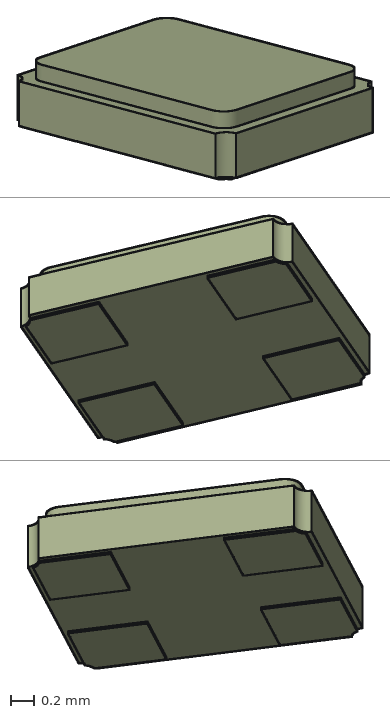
import cadquery as cq

length = 2.5
width = 2.0
base_height = 0.4

notch_radius = 0.125

lid_margin = 0.125
lid_height = 0.15
lid_corner_radius = 0.15

pad_length = 0.7
pad_width = 0.65
pad_thickness = 0.02
pad_inset_x = 0.05
pad_inset_y = 0.045

total_height = pad_thickness + base_height + lid_height
corner_signs = [(x_sign, y_sign) for x_sign in (-1, 1) for y_sign in (-1, 1)]


def make_corner_notches():
    """Full-height cylinders centred on the four package corners."""
    corners = [(x * length / 2, y * width / 2) for x, y in corner_signs]
    return cq.Workplane("XY").pushPoints(corners).circle(notch_radius).extrude(total_height)


def make_package():
    """Notched base with the rounded lid raised on its top face."""
    base = (
        cq.Workplane("XY", origin=(0, 0, pad_thickness))
        .rect(length, width)
        .extrude(base_height)
        .cut(make_corner_notches())
    )
    lid = (
        cq.Workplane("XY", origin=(0, 0, pad_thickness + base_height))
        .rect(length - 2 * lid_margin, width - 2 * lid_margin)
        .extrude(lid_height)
        .edges("|Z")
        .fillet(lid_corner_radius)
    )
    return base.union(lid)


def make_pad(x_sign, y_sign):
    """Thin contact pad near one corner, trimmed by that corner's notch."""
    x_center = x_sign * (length / 2 - pad_inset_x - pad_length / 2)
    y_center = y_sign * (width / 2 - pad_inset_y - pad_width / 2)
    return (
        cq.Workplane("XY")
        .center(x_center, y_center)
        .rect(pad_length, pad_width)
        .extrude(pad_thickness)
        .cut(make_corner_notches())
    )


package = make_package()
pads = [make_pad(x_sign, y_sign) for x_sign, y_sign in corner_signs]

result = cq.Compound.makeCompound([package.val(), *[pad.val() for pad in pads]])